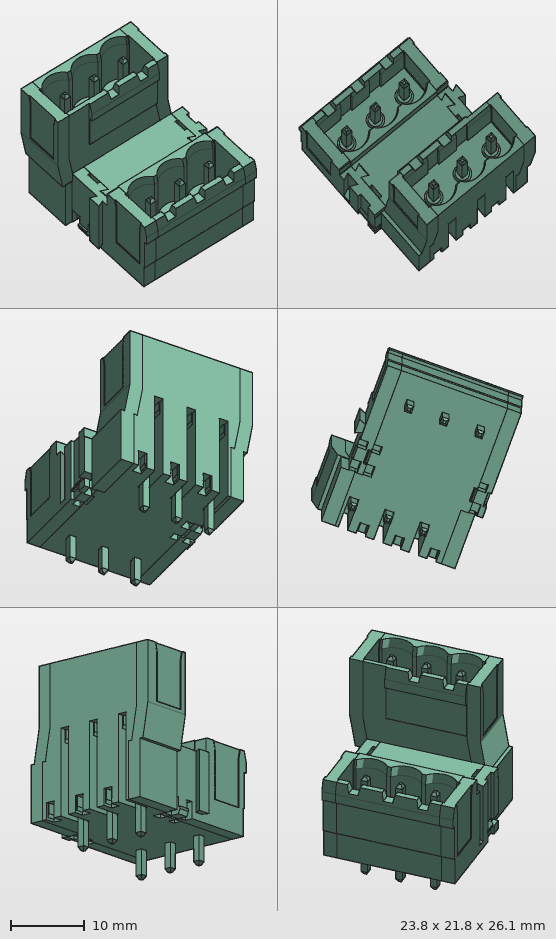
import cadquery as cq


pitch = 5.1
poles = 3
row_x = 3.92
pin_size_x = 1.05
pin_size_y = 1.0
pin_end_size = 0.4
pin_taper = 0.52
pin_tail = 4.12
pin_below_rim = 0.78
boss_bottom_radius = 1.25
boss_top_radius = 1.0
boss_height = 0.25

upper_top = 21.98
lower_top = 12.15
deck_top = 9.75
shroud_depth = 7.9
lower_shroud_x = 15.22
lower_shift = pitch / 2
plate_thickness = 1.98
block_half = poles * pitch / 2
outer_half = block_half + plate_thickness

lean_top = 13.15
lean_bottom = 8.27
lean_shift = 0.85
foot_shift = 1.4
foot_depth = 7.83

plate_setback = 0.08
plate_edge_x = 0.15
plate_edge_z = 0.08

cavity_depth = 8.27
cavity_back = 1.7
cavity_front = 7.25
lead_in = 0.3
lead_in_depth = 1.35
scallop_depth = 1.07
scallop_half = 2.25
wall_groove_width = 1.95
side_recess = 0.15

ledge_x = 8.1
ledge_drop = 8.17
lip_x = 8.53
lip_drop = 3.03
lip_slope_drop = 1.67
upper_lip_end = -4.18
notch_depth = 1.17
notch_top_half = 0.95
notch_bottom_half = 0.68

slot_width = 1.33
slot_throat_width = 1.0
slot_flare_height = 0.52
pin_slot_top = 12.45
pin_slot_step = 0.84
pin_slot_throat_end = 11.12
pocket_top = 2.4
pocket_step = 0.31
pocket_throat_end = 0.91
pocket_depth = 1.57

dovetail_x = 13.73
dovetail_bottom = 1.07
dovetail_neck_half = 0.57
tenon_half = 1.0
tenon_length = 0.97
mortise_half = 1.05
mortise_depth = 1.05

latch_start = 7.93
tongue_start = 9.45
tongue_end = 11.22
latch_end = 12.35
latch_relief_depth = 1.17
latch_relief_top = 2.4
hook_top = 1.07
hook_slope_top = 0.7
hook_reach = 0.25
channel_start = 9.35
channel_end = 11.38
channel_depth = 0.47
catch_depth = 0.1
catch_bottom = 1.33
catch_slope_bottom = 1.62
catch_top = 2.4

pole_offsets = [(i - (poles - 1) / 2) * pitch for i in range(poles)]
shrouds = [(0, 0, upper_top), (lower_shroud_x, lower_shift, lower_top)]


def box(x0, x1, y0, y1, z0, z1):
    return cq.Workplane("XY").box(x1 - x0, y1 - y0, z1 - z0, centered=False).translate((x0, y0, z0))


def along_x(points, x0, x1):
    """Extrude an outline of (y, z) points from x0 to x1."""
    return cq.Workplane("YZ", origin=(x0, 0, 0)).polyline(points).close().extrude(x1 - x0)


def along_y(points, y0, y1):
    """Extrude an outline of (x, z) points from y0 to y1."""
    return cq.Workplane("XZ", origin=(0, y1, 0)).polyline(points).close().extrude(y1 - y0)


def along_z(points, z0, z1):
    """Extrude an outline of (x, y) points from z0 to z1."""
    return cq.Workplane("XY", origin=(0, 0, z0)).polyline(points).close().extrude(z1 - z0)


def column(y0, y1):
    neck = [
        (y0, upper_top),
        (y0, lean_top),
        (y0 + lean_shift, lean_bottom),
        (y1 + lean_shift, lean_bottom),
        (y1, lean_top),
        (y1, upper_top),
    ]
    foot = box(0, foot_depth, y0 + foot_shift, y1 + foot_shift, 0, lean_bottom)
    return along_x(neck, 0, shroud_depth).union(foot)


def deck(y0, y1, is_plate):
    outline = [
        (foot_depth, 0),
        (lower_shroud_x + shroud_depth, 0),
        (lower_shroud_x + shroud_depth, lower_top),
    ]
    if is_plate:
        face_x = lower_shroud_x + plate_setback
        outline += [
            (face_x + plate_edge_x, lower_top),
            (face_x, lower_top - plate_edge_z),
            (face_x, deck_top + plate_setback),
        ]
    else:
        outline.append((lower_shroud_x, lower_top))
    outline += [
        (lower_shroud_x, deck_top),
        (shroud_depth, deck_top),
        (shroud_depth, lean_bottom),
        (foot_depth, lean_bottom),
    ]
    return along_y(outline, y0, y1)


def lip(x, top, y0, y1):
    outline = [
        (x + shroud_depth, top),
        (x + shroud_depth, top - ledge_drop),
        (x + ledge_x, top - ledge_drop),
        (x + ledge_x, top - lip_drop),
        (x + lip_x, top - lip_drop),
        (x + lip_x, top - lip_slope_drop),
        (x + ledge_x, top),
    ]
    return along_y(outline, y0, y1)


def opening(x, top, y0, y1):
    """Cavity section with its lead-in, cut between y0 and y1."""
    outline = [
        (x + cavity_back, top),
        (x + cavity_back + lead_in, top - lead_in_depth),
        (x + cavity_back + lead_in, top - cavity_depth),
        (x + cavity_front - lead_in, top - cavity_depth),
        (x + cavity_front - lead_in, top - lead_in_depth),
        (x + cavity_front, top),
    ]
    return along_y(outline, y0, y1)


def scallop(x, y, top):
    """Round bay in the back wall behind one pin, with its lead-in."""
    def bay(plane, inset):
        back = x + cavity_back + inset
        return (
            plane.moveTo(x + row_x, y - scallop_half)
            .lineTo(back, y - scallop_half)
            .threePointArc((back - scallop_depth, y), (back, y + scallop_half))
            .lineTo(x + row_x, y + scallop_half)
            .close()
        )

    throat_z = top - lead_in_depth
    floor_z = top - cavity_depth
    throat = bay(cq.Workplane("XY", origin=(0, 0, floor_z)), lead_in).extrude(throat_z - floor_z)
    lower_edge = bay(cq.Workplane("XY", origin=(0, 0, throat_z)), lead_in)
    funnel = bay(lower_edge.workplane(offset=lead_in_depth), 0).loft(ruled=True)
    return throat.union(funnel)


def cavity(x, y, top):
    half = block_half + side_recess
    cut = opening(x, top, y - half, y + half)
    for offset in pole_offsets:
        cut = cut.union(scallop(x, y + offset, top))
    groove_half = wall_groove_width / 2
    for offset in pole_offsets[:-1]:
        middle = y + offset + pitch / 2
        cut = cut.union(
            box(x + row_x, x + cavity_front, middle - groove_half, middle + groove_half,
                top - cavity_depth, top)
        )
    return cut


def side_recesses(x, y, top):
    inner = outer_half - side_recess
    left = opening(x, top, y - outer_half, y - inner)
    return left.union(opening(x, top, y + inner, y + outer_half))


def wall_notch(x, y, top):
    outline = [
        (y - notch_top_half, top),
        (y - notch_bottom_half, top - notch_depth),
        (y + notch_bottom_half, top - notch_depth),
        (y + notch_top_half, top),
    ]
    return along_x(outline, x + cavity_front - lead_in, x + lip_x)


def stepped_slot(y, top, step_x, throat_end, end_x):
    """Slot open at the bottom; beyond step_x it is narrow at the top and flares out below."""
    half = slot_width / 2
    throat_half = slot_throat_width / 2
    flare_end = throat_end - slot_flare_height
    throat = [
        (y - throat_half, top),
        (y - throat_half, throat_end),
        (y - half, flare_end),
        (y - half, 0),
        (y + half, 0),
        (y + half, flare_end),
        (y + throat_half, throat_end),
        (y + throat_half, top),
    ]
    return box(0, step_x, y - half, y + half, 0, top).union(along_x(throat, step_x, end_x))


def dovetail(y, half, length):
    """Prism running from its neck at y towards -Y, wider at its far end."""
    outline = [
        (dovetail_x - dovetail_neck_half, y),
        (dovetail_x - half, y - length),
        (dovetail_x + half, y - length),
        (dovetail_x + dovetail_neck_half, y),
    ]
    return along_z(outline, dovetail_bottom, deck_top)


def latch_reliefs(y):
    """Clearances that free the latch tongue on both sides."""
    left = box(latch_start, tongue_start, y, y + latch_relief_depth, 0, latch_relief_top)
    return left.union(box(tongue_end, latch_end, y, y + latch_relief_depth, 0, latch_relief_top))


def latch_hook(y):
    outline = [(y, 0), (y - hook_reach, hook_slope_top), (y - hook_reach, hook_top), (y, hook_top)]
    return along_x(outline, tongue_start, tongue_end)


def latch_channel(y):
    """Full-height channel for a neighbour's hook, with the catch ridge near its bottom."""
    outline = [
        (y, 0),
        (y - channel_depth, 0),
        (y - channel_depth, catch_bottom),
        (y - catch_depth, catch_bottom),
        (y - catch_depth, catch_slope_bottom),
        (y - channel_depth, catch_top),
        (y - channel_depth, deck_top),
        (y, deck_top),
    ]
    return along_x(outline, channel_start, channel_end)


def latch_window(y):
    """Opening from the back of the deck into the latch channel, beside the catch ridge."""
    return box(foot_depth, tongue_start, y - latch_relief_depth, y, catch_bottom, catch_top)


def pin(x, y, top):
    def tip(z, length):
        return (
            cq.Workplane("XY", origin=(x, y, z)).rect(pin_size_x, pin_size_y)
            .workplane(offset=length).rect(pin_end_size, pin_end_size).loft()
        )

    bottom_shoulder = pin_taper - pin_tail
    top_shoulder = top - pin_below_rim - pin_taper
    shank = (
        cq.Workplane("XY", origin=(x, y, bottom_shoulder))
        .rect(pin_size_x, pin_size_y).extrude(top_shoulder - bottom_shoulder)
    )
    boss = cq.Workplane(
        cq.Solid.makeCone(boss_bottom_radius, boss_top_radius, boss_height,
                          pnt=cq.Vector(x, y, top - cavity_depth))
    )
    return shank.union(tip(top_shoulder, pin_taper)).union(tip(bottom_shoulder, -pin_taper)).union(boss)


def housing_slice(y0, y1, is_plate):
    """Housing between y0 and y1 of the upper row, with the joints to its neighbours."""
    deck_y0 = y0 + lower_shift
    deck_y1 = y1 + lower_shift
    body = column(y0, y1).union(deck(deck_y0, deck_y1, is_plate))
    body = body.union(lip(lower_shroud_x, lower_top, deck_y0, deck_y1))
    for x, y, top in shrouds:
        body = body.cut(cavity(x, y, top))
        body = body.cut(side_recesses(x, y, top))
    body = body.cut(dovetail(deck_y1, mortise_half, mortise_depth))
    body = body.cut(latch_reliefs(deck_y0)).cut(latch_channel(deck_y1))
    return body.union(dovetail(deck_y0, tenon_half, tenon_length)).union(latch_hook(deck_y0))


def middle_body():
    body = housing_slice(-block_half, block_half, False)
    body = body.union(lip(0, upper_top, upper_lip_end, block_half))
    for offset in pole_offsets[1:]:
        body = body.cut(wall_notch(0, offset, upper_top))
    for offset in pole_offsets:
        lower_y = offset + lower_shift
        body = body.cut(wall_notch(lower_shroud_x, lower_y, lower_top))
        body = body.cut(
            stepped_slot(offset, pin_slot_top, pin_slot_step, pin_slot_throat_end, row_x + pin_size_x / 2)
        )
        body = body.cut(stepped_slot(lower_y, pocket_top, pocket_step, pocket_throat_end, pocket_depth))
    for x, y, top in shrouds:
        for offset in pole_offsets:
            body = body.union(pin(x + row_x, y + offset, top))
    return body


def end_plates():
    left = housing_slice(-outer_half, -block_half, True)
    right = housing_slice(block_half, outer_half, True)
    return [left, right.cut(latch_window(outer_half + lower_shift))]


middle = middle_body()
plates = end_plates()

result = cq.Compound.makeCompound([middle.solids().val(), *[plate.solids().val() for plate in plates]])